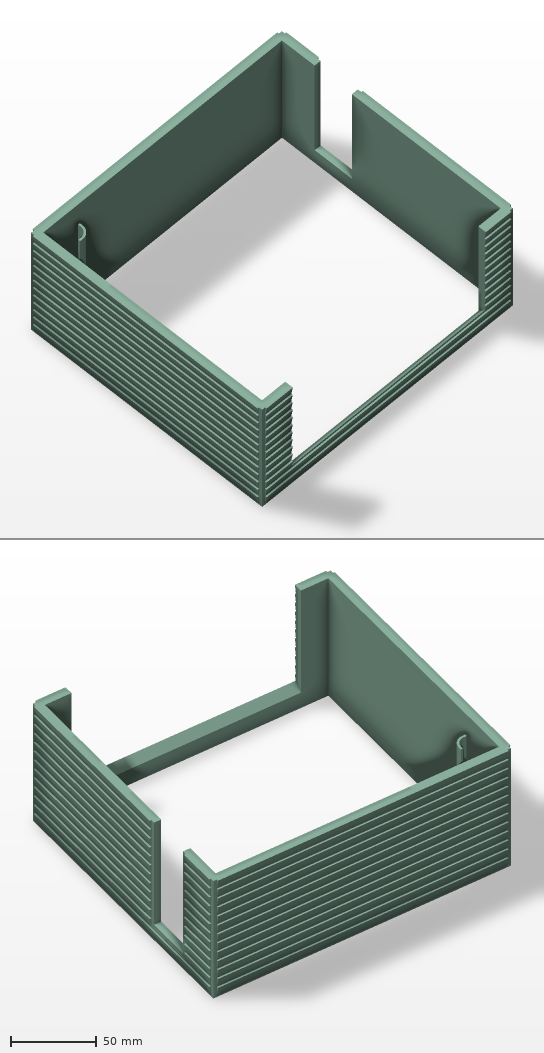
import cadquery as cq

overall_x = 191.75
overall_y = 212.76
wall_height = 92.0

board_count = 13
board_height = 7.0
board_projection = 1.25
siding_bottom = wall_height - board_count * board_height
corner_trim = 2.5

wall_thickness = 5.0
half_x = overall_x / 2 - board_projection
half_y = overall_y / 2 - board_projection
inner_half_x = half_x - wall_thickness
inner_half_y = half_y - wall_thickness

gate_width = 162.0
gate_center_y = 0.3
gate_sill_inner = 12.0
gate_sill_rise = wall_thickness + board_projection

door_width = 30.5
door_center_x = -47.6
door_sill = gate_sill_inner
door_trim = 2.75

partition_size = 20.0
partition_thickness = 1.5
partition_outer_radius = 7.5
partition_arm_height = wall_height / 2
partition_notch = 10.5


def make_walls():
    outer = cq.Workplane("XY").rect(2 * half_x, 2 * half_y).extrude(wall_height)
    cavity = cq.Workplane("XY").rect(2 * inner_half_x, 2 * inner_half_y).extrude(wall_height)
    return outer.cut(cavity)


def make_siding(face_distance, wall_half_length, turn):
    """Saw-tooth siding for one wall; each board leans outward towards its top."""
    back = face_distance - wall_thickness / 2
    front = face_distance + board_projection
    points = [(back, siding_bottom)]
    for index in range(board_count):
        bottom = siding_bottom + index * board_height
        points.append((face_distance, bottom))
        points.append((front, bottom + board_height))
    points.append((back, wall_height))
    profile = cq.Workplane("XZ").polyline(points).close()
    siding = profile.extrude(wall_half_length - corner_trim, both=True)
    return siding.rotate((0, 0, 0), (0, 0, 1), turn)


def make_gate_cutter():
    """Opening up to the wall top whose sill climbs towards the outside."""
    outside = half_x + board_projection
    profile = [
        (inner_half_x, gate_sill_inner),
        (outside, gate_sill_inner + gate_sill_rise),
        (outside, wall_height),
        (inner_half_x, wall_height),
    ]
    cutter = cq.Workplane("XZ").polyline(profile).close().extrude(gate_width / 2, both=True)
    return cutter.translate((0, gate_center_y, 0))


def make_door_cutter(width, bottom, start_y):
    """Block from start_y out through the siding, open at the wall top."""
    depth = half_y + board_projection - start_y
    block = cq.Workplane("XY").box(width, depth, wall_height - bottom, centered=(True, False, False))
    return block.translate((door_center_x, start_y, bottom))


def make_rounded_block(size, radius):
    block = cq.Workplane("XY").box(size, size, wall_height, centered=False)
    return block.edges("|Z and >X and >Y").fillet(radius)


def make_partition():
    """Full-height rounded corner; the arms reaching the walls are lower."""
    outer = make_rounded_block(partition_size, partition_outer_radius)
    inner = make_rounded_block(
        partition_size - partition_thickness,
        partition_outer_radius - partition_thickness,
    )
    partition = outer.cut(inner)
    notch_height = wall_height - partition_arm_height
    for notch_x, notch_y in (
        (partition_notch, partition_size),
        (partition_size, partition_notch),
    ):
        notch = cq.Workplane("XY").box(notch_x, notch_y, notch_height, centered=False)
        partition = partition.cut(notch.translate((0, 0, partition_arm_height)))
    return partition.translate((-inner_half_x, -inner_half_y, 0))


result = make_walls()
for turn in (0, 180):
    result = result.union(make_siding(half_x, half_y, turn))
for turn in (90, 270):
    result = result.union(make_siding(half_y, half_x, turn))

result = result.cut(make_gate_cutter())
result = result.cut(make_door_cutter(door_width, door_sill, inner_half_y))
result = result.cut(make_door_cutter(door_width + 2 * door_trim, door_sill - door_trim, half_y))
result = result.union(make_partition())